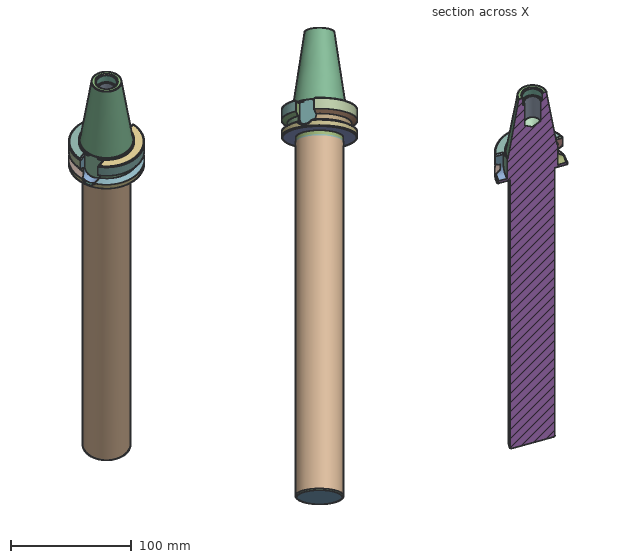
import cadquery as cq
import math

total_length = 405.5
taper_length = 65.3
gauge_z = total_length - taper_length

body_diameter = 40.0
neck_diameter = 39.7
neck_length = 3.2
neck_cone_height = 1.2
body_chamfer = 1.2

taper_ratio = 7 / 24
taper_base_diameter = 44.0
tip_chamfer = 0.5
taper_tip_diameter = taper_base_diameter - taper_ratio * taper_length

flange_diameter = 63.0
flange_thickness = 25.0
flange_gap = 1.5
flange_chamfer = 1.0
collar_diameter = 46.2
groove_floor_diameter = 53.5
groove_center_z = 323.5
groove_floor_width = 4.5
groove_flank_angle = 30

slot_width = 16.2
slot_floor_offset = 22.5
slot_bottom_z = 316.5
slot_top_chamfer = 1.2
slot_mouth_offset = 30.0

countersink_diameter = 19.0
counterbore_diameter = 17.0
counterbore_depth = 8.0
bore_diameter = 13.8
bore_depth = 32.5
drill_point_angle = 118


def revolve(points):
    """Revolve a closed (radius, z) outline about the Z axis."""
    return cq.Workplane("XZ").polyline(points).close().revolve(360, (0, 0), (0, 1))


def holder_body():
    body_r = body_diameter / 2
    neck_r = neck_diameter / 2
    flange_r = flange_diameter / 2
    floor_r = groove_floor_diameter / 2
    collar_r = collar_diameter / 2
    flange_top = gauge_z - flange_gap
    flange_bottom = flange_top - flange_thickness
    neck_bottom = flange_bottom - neck_length
    floor_half = groove_floor_width / 2
    mouth_half = floor_half + (flange_r - floor_r) * math.tan(math.radians(groove_flank_angle))
    return revolve([
        (0, 0),
        (body_r - body_chamfer, 0),
        (body_r, body_chamfer),
        (body_r, neck_bottom - neck_cone_height),
        (neck_r, neck_bottom),
        (neck_r, flange_bottom),
        (flange_r - flange_chamfer, flange_bottom),
        (flange_r, flange_bottom + flange_chamfer),
        (flange_r, groove_center_z - mouth_half),
        (floor_r, groove_center_z - floor_half),
        (floor_r, groove_center_z + floor_half),
        (flange_r, groove_center_z + mouth_half),
        (flange_r, flange_top - flange_chamfer),
        (flange_r - flange_chamfer, flange_top),
        (collar_r, flange_top),
        (collar_r, gauge_z),
        (taper_base_diameter / 2, gauge_z),
        (taper_tip_diameter / 2, total_length - tip_chamfer),
        (taper_tip_diameter / 2 - tip_chamfer, total_length),
        (0, total_length),
    ])


def slot_outline(side, offset):
    """Round-bottomed slot outline in the plane Y = side * offset."""
    half = slot_width / 2
    arc_center_z = slot_bottom_z + half
    return (
        cq.Workplane("XZ", origin=(0, side * offset, 0))
        .moveTo(-half, gauge_z)
        .lineTo(-half, arc_center_z)
        .threePointArc((0, slot_bottom_z), (half, arc_center_z))
        .lineTo(half, gauge_z)
        .close()
    )


def drive_slot(side):
    """Cutter for the slot on the -Y (side = -1) or +Y (side = 1) face."""
    half = slot_width / 2
    depth = flange_diameter / 2 - slot_floor_offset
    slot = slot_outline(side, slot_floor_offset).extrude(-side * depth)

    mouth_depth = flange_diameter / 2 - slot_mouth_offset
    mouth = slot_outline(side, slot_mouth_offset).extrude(-side * mouth_depth, taper=-45)

    flange_top = gauge_z - flange_gap
    top_half = half + slot_top_chamfer
    top_bevel = (
        cq.Workplane("XZ", origin=(0, side * slot_floor_offset, 0))
        .polyline([
            (-half, flange_top - slot_top_chamfer),
            (half, flange_top - slot_top_chamfer),
            (top_half, flange_top),
            (top_half, gauge_z),
            (-top_half, gauge_z),
            (-top_half, flange_top),
        ])
        .close()
        .extrude(-side * depth)
    )
    return slot.union(mouth).union(top_bevel)


def bore():
    bore_r = bore_diameter / 2
    countersink_r = countersink_diameter / 2
    counterbore_r = counterbore_diameter / 2
    bore_bottom = total_length - bore_depth
    point_height = bore_r / math.tan(math.radians(drill_point_angle / 2))
    step_z = total_length - counterbore_depth
    return revolve([
        (0, bore_bottom - point_height),
        (bore_r, bore_bottom),
        (bore_r, step_z),
        (counterbore_r, step_z),
        (counterbore_r, total_length - (countersink_r - counterbore_r)),
        (countersink_r, total_length),
        (0, total_length),
    ])


result = holder_body().cut(bore())
for side in (-1, 1):
    result = result.cut(drive_slot(side))